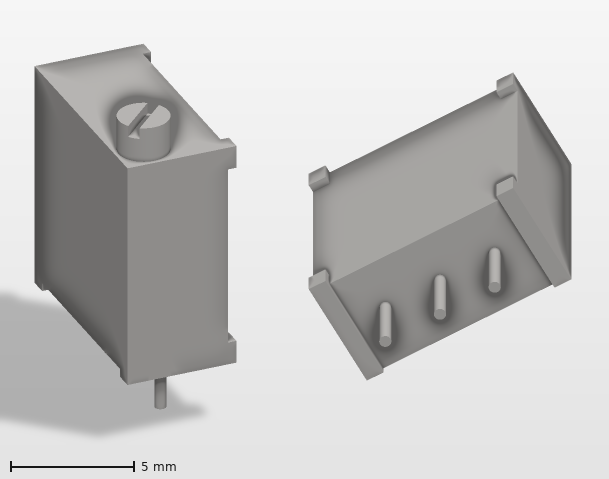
import cadquery as cq

width = 9.52
depth = 4.83
total_height = 14.15
body_height = 10.0

foot_width = 0.78
back_foot_height = 1.0
standoff = 0.37

screw_diameter = 2.2
screw_height = 1.54
screw_x = 3.5
screw_from_front = 1.26
slot_width = 0.5
slot_depth = 0.5
slot_angle = -45

pin_diameter = 0.5
pin_pitch = 2.55
pin_length = total_height - body_height - screw_height

span_between_feet = width - 2 * foot_width
screw_y = screw_from_front - depth / 2


def make_body():
    """Block with feet at the bottom ends and at the four back corners."""
    block = cq.Workplane("XY").box(width, depth, body_height, centered=(True, True, False))
    bottom_gap = cq.Workplane("XY").box(
        span_between_feet, depth, standoff, centered=(True, True, False)
    )
    back_plane = cq.Workplane("XY").workplane(origin=(0, depth / 2 - standoff, 0))
    upright_gap = back_plane.box(
        span_between_feet, standoff, body_height, centered=(True, False, False)
    )
    cross_gap = back_plane.workplane(offset=back_foot_height).box(
        width, standoff, body_height - 2 * back_foot_height, centered=(True, False, False)
    )
    return block.cut(bottom_gap).cut(upright_gap).cut(cross_gap)


def make_screw():
    """Adjusting screw with a diagonal screwdriver slot."""
    head = cq.Workplane("XY").circle(screw_diameter / 2).extrude(screw_height)
    slot = (
        cq.Workplane("XY")
        .workplane(offset=screw_height - slot_depth)
        .rect(2 * screw_diameter, slot_width)
        .extrude(slot_depth)
        .rotate((0, 0, 0), (0, 0, 1), slot_angle)
    )
    return head.cut(slot).translate((screw_x, screw_y, body_height))


def make_pins():
    """Row of three round pins, starting at the raised underside of the body."""
    return (
        cq.Workplane("XY")
        .workplane(offset=-pin_length)
        .rarray(pin_pitch, 0.14, 3, 1)
        .circle(pin_diameter / 2)
        .extrude(pin_length + standoff)
    )


result = make_body().union(make_screw()).union(make_pins())